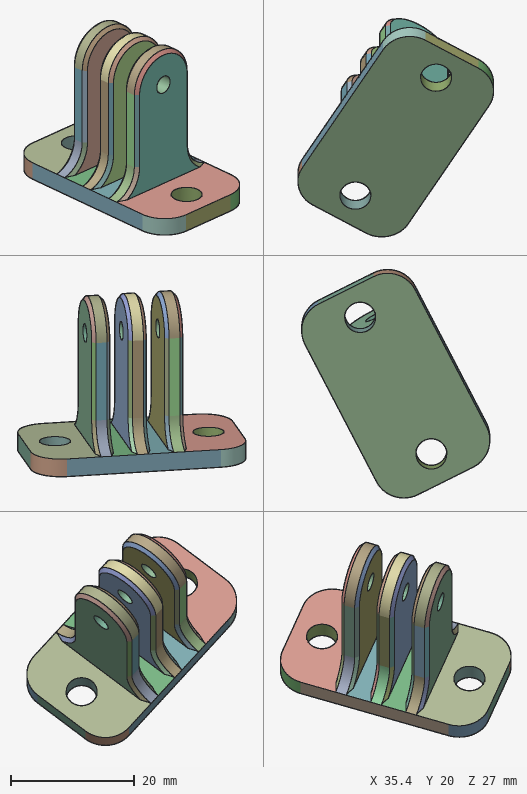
import cadquery as cq
import math

plate_length = 35.4
plate_width = 20.0
plate_thickness = 3.0
corner_radius = 5.0
screw_hole_diameter = 5.0
screw_hole_spacing = 25.35

fin_count = 3
fin_thickness = 3.0
fin_pitch = 6.02
fin_row_offset = -0.2
fin_width = 12.0
fin_chamfer = 0.6
total_height = 27.0
pivot_hole_diameter = 3.0
foot_radius = 5.0

fin_radius = fin_width / 2
pivot_height = total_height - fin_radius
half_plate = plate_width / 2

foot_center_y = fin_radius + foot_radius
foot_end_offset = foot_center_y - half_plate
foot_rise = math.sqrt(foot_radius**2 - foot_end_offset**2)
foot_top = plate_thickness + foot_rise
foot_mid_angle = math.atan2(foot_rise, foot_end_offset) / 2
foot_mid_y = foot_center_y - foot_radius * math.cos(foot_mid_angle)
foot_mid_z = foot_top - foot_radius * math.sin(foot_mid_angle)


def make_plate():
    """Rounded plate resting on Z = 0, with two screw holes."""
    return (
        cq.Workplane("XY")
        .rect(plate_length, plate_width)
        .extrude(plate_thickness)
        .edges("|Z")
        .fillet(corner_radius)
        .faces(">Z")
        .workplane()
        .rarray(screw_hole_spacing, 0.35, 2, 1)
        .hole(screw_hole_diameter)
    )


def make_fin(center_x):
    """Round-topped fin with flared feet and chamfered outline."""
    fin = (
        cq.Workplane("YZ", origin=(center_x - fin_thickness / 2, 0, 0))
        .moveTo(-half_plate, plate_thickness)
        .lineTo(half_plate, plate_thickness)
        .threePointArc((foot_mid_y, foot_mid_z), (fin_radius, foot_top))
        .lineTo(fin_radius, pivot_height)
        .threePointArc((0, total_height), (-fin_radius, pivot_height))
        .lineTo(-fin_radius, foot_top)
        .threePointArc((-foot_mid_y, foot_mid_z), (-half_plate, plate_thickness))
        .close()
        .extrude(fin_thickness)
    )
    outline = fin.faces("<X or >X").edges("not <Z")
    return outline.chamfer(fin_chamfer)


result = make_plate()
for index in range(fin_count):
    fin_position = fin_row_offset + (index - (fin_count - 1) / 2) * fin_pitch
    result = result.union(make_fin(fin_position))

pivot_hole = (
    cq.Workplane("YZ")
    .center(0, pivot_height)
    .circle(pivot_hole_diameter / 2)
    .extrude(plate_length / 2, both=True)
)
result = result.cut(pivot_hole)